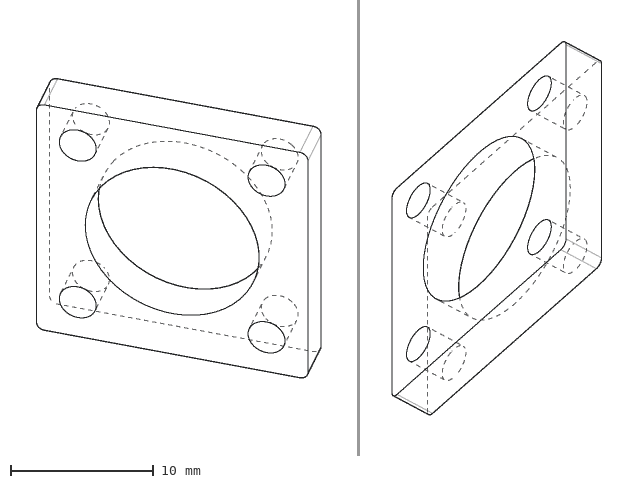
import cadquery as cq

side = 19.92
thickness = 3.17
corner_radius = 0.6
bore_diameter = 12.75
bolt_hole_diameter = 2.7
bolt_spacing = 13.85

plate = (
    cq.Workplane("XZ")
    .rect(side, side)
    .extrude(thickness)
    .edges("|Y")
    .fillet(corner_radius)
)

bored_plate = plate.faces("<Y").workplane(centerOption="CenterOfBoundBox").hole(bore_diameter)

result = (
    bored_plate.faces("<Y")
    .workplane(centerOption="CenterOfBoundBox")
    .rect(bolt_spacing, bolt_spacing, forConstruction=True)
    .vertices()
    .hole(bolt_hole_diameter)
)